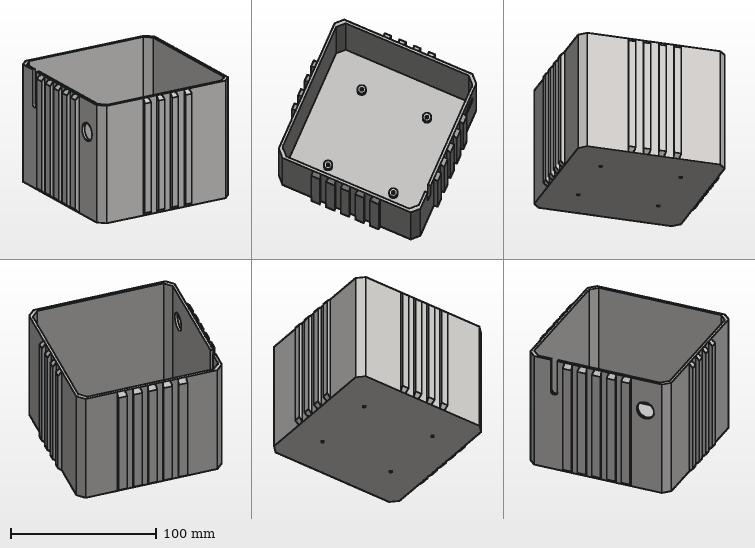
import cadquery as cq

OVERALL = 112.3
HEIGHT = 86.0

BOX_SIDE = 106.4
RIB_DEPTH = (OVERALL - BOX_SIDE) / 2
WALL_Y = -BOX_SIDE / 2
TIP_Y = -OVERALL / 2
WALL = 2.0
FLOOR = WALL
CORNER_CHAMFER = 5.0

DOVETAIL_COUNT = 4
DOVETAIL_PITCH = 11.0
TONGUE_ROOT = 4.0
TONGUE_TIP = 5.0

GROOVE_CLEARANCE = 0.6
GROOVE_MOUTH = TONGUE_ROOT + GROOVE_CLEARANCE
GROOVE_BOTTOM = TONGUE_TIP + GROOVE_CLEARANCE
RIDGE_ROW_WIDTH = 50.4

SLOT_X = -33.0
SLOT_WIDTH = 5.0
SLOT_DEPTH = 27.0
PORT_X = 35.7
PORT_DIAMETER = 12.9
PORT_BELOW_RIM = 23.5

STANDOFF_SPACING_X = 58.0
STANDOFF_SPACING_Y = 49.0
STANDOFF_DIAMETER = 6.0
STANDOFF_HEIGHT = 5.0
SCREW_HOLE_DIAMETER = 2.0


def chamfered_block(side, height, base_z):
    """Square block centred on the Z axis with chamfered vertical corners."""
    return (
        cq.Workplane("XY", origin=(0, 0, base_z))
        .rect(side, side)
        .extrude(height)
        .edges("|Z")
        .chamfer(CORNER_CHAMFER)
    )


def make_sloped_bar(width):
    """Full-height bar along the -Y wall, with ends that slope from the wall to the tip."""
    return (
        cq.Workplane("YZ")
        .polyline([
            (WALL_Y, 0),
            (TIP_Y, RIB_DEPTH),
            (TIP_Y, HEIGHT - RIB_DEPTH),
            (WALL_Y, HEIGHT),
        ])
        .close()
        .extrude(width / 2, both=True)
    )


def make_dovetails(root_width, tip_width):
    """Row of full-height dovetail prisms on the -Y wall."""
    row = cq.Workplane("XY")
    for index in range(DOVETAIL_COUNT):
        offset = (index - (DOVETAIL_COUNT - 1) / 2) * DOVETAIL_PITCH
        row = row.polyline([
            (offset - root_width / 2, WALL_Y),
            (offset - tip_width / 2, TIP_Y),
            (offset + tip_width / 2, TIP_Y),
            (offset + root_width / 2, WALL_Y),
        ]).close()
    return row.extrude(HEIGHT)


def make_tongues():
    """Row of dovetail tongues with sloped ends on the -Y wall."""
    row_width = DOVETAIL_COUNT * DOVETAIL_PITCH
    return make_sloped_bar(row_width).intersect(make_dovetails(TONGUE_ROOT, TONGUE_TIP))


def make_ridges():
    """Row of ridges on the -Y wall: one broad bar split by dovetail grooves."""
    return make_sloped_bar(RIDGE_ROW_WIDTH).cut(make_dovetails(GROOVE_BOTTOM, GROOVE_MOUTH))


def turned(row, angle):
    """A row built on the -Y wall, moved to another wall by a turn about Z."""
    return row.rotate((0, 0, 0), (0, 0, 1), angle)


def make_cable_slot():
    """Round-ended slot, open at the rim, cutting the -Y wall."""
    end_z = HEIGHT - SLOT_DEPTH + SLOT_WIDTH / 2
    radius = SLOT_WIDTH / 2
    return (
        cq.Workplane("XZ", origin=(SLOT_X, WALL_Y + WALL, 0))
        .moveTo(-radius, HEIGHT)
        .lineTo(-radius, end_z)
        .threePointArc((0, end_z - radius), (radius, end_z))
        .lineTo(radius, HEIGHT)
        .close()
        .extrude(WALL)
    )


def make_port():
    """Round opening through the -Y wall."""
    return (
        cq.Workplane("XZ", origin=(PORT_X, WALL_Y + WALL, HEIGHT - PORT_BELOW_RIM))
        .circle(PORT_DIAMETER / 2)
        .extrude(WALL)
    )


def make_screw_holes():
    """Screw holes through the floor, in line with the standoffs."""
    return (
        cq.Workplane("XY")
        .rect(STANDOFF_SPACING_X, STANDOFF_SPACING_Y, forConstruction=True)
        .vertices()
        .circle(SCREW_HOLE_DIAMETER / 2)
        .extrude(FLOOR)
    )


def make_housing():
    """Open box with ridges and tongues on its walls, a cable slot, a port and floor screw holes."""
    outside = chamfered_block(BOX_SIDE, HEIGHT, 0)
    cavity = chamfered_block(BOX_SIDE - 2 * WALL, HEIGHT - FLOOR, FLOOR)
    housing = outside.cut(cavity)
    for angle in (0, -90):
        housing = housing.union(turned(make_ridges(), angle))
    for angle in (90, 180):
        housing = housing.union(turned(make_tongues(), angle))
    return housing.cut(make_cable_slot()).cut(make_port()).cut(make_screw_holes())


def make_standoff(x, y):
    """Tubular standoff resting on the floor."""
    return (
        cq.Workplane("XY", origin=(x, y, FLOOR))
        .circle(STANDOFF_DIAMETER / 2)
        .circle(SCREW_HOLE_DIAMETER / 2)
        .extrude(STANDOFF_HEIGHT)
    )


housing = make_housing()

standoffs = []
for side_x in (-1, 1):
    for side_y in (-1, 1):
        standoff = make_standoff(side_x * STANDOFF_SPACING_X / 2, side_y * STANDOFF_SPACING_Y / 2)
        standoffs.append(standoff.val())

result = cq.Compound.makeCompound([housing.val(), *standoffs])